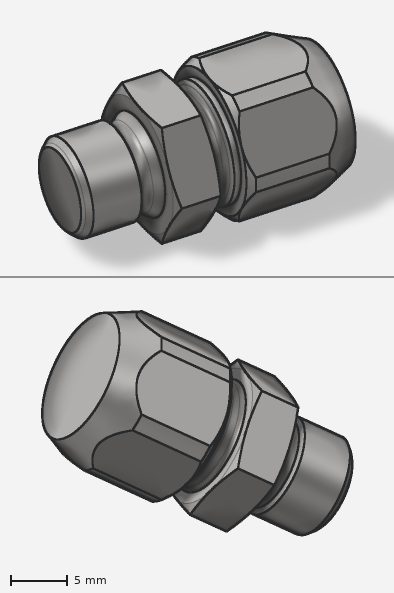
import cadquery as cq
import math

length = 26.6

thread_end = 5.7
hex_start = 7.95
hex_end = 12.53
nut_start = 15.08

thread_radius = 4.8
thread_root_radius = 4.3
nose_edge_length = 0.27
thread_chamfer = 0.82
nose_face_radius = 4.0

relief_radius = 4.12
relief_arc_start = (4.25, 5.95)
relief_arc_end = (4.4, 7.08)
relief_middle = 6.45
relief_flare_radius = 5.0

neck_radius = 5.15
neck_flare_radius = 5.45
neck_start = 13.0
neck_flare_arc_radius = 0.59
neck_end = 13.73
collar_arc_end = (5.53, 14.2)
collar_radius = 5.98
collar_start = 14.42

hex_flats = 13.0
hex_face_radius = hex_flats / 2
hex_corner_radius = hex_flats / 2 / math.cos(math.radians(30))
hex_chamfer = 0.32

nut_flats = 14.0
nut_face_radius = nut_flats / 2
nut_corner_radius = 15.3 / 2
nut_front_chamfer = 0.65
nut_rear_radius = 6.1
nut_cone_length = 3.45


def revolve(profile):
    """Turn a closed (radius, axial position) profile about the Y axis."""
    return profile.close().revolve(360, (0, 0, 0), (0, 1, 0))


def chamfered_hexagon(flats, start, end, corner_radius,
                      front_radius, front_chamfer, rear_radius, rear_chamfer):
    """Hexagonal prism with corners on the X axis, trimmed by a turned envelope."""
    prism = (
        cq.Workplane("XZ", origin=(0, start, 0))
        .polygon(6, flats / math.cos(math.radians(30)))
        .extrude(start - end)
    )
    envelope = revolve(
        cq.Workplane("XY").polyline([
            (0, start),
            (front_radius, start),
            (corner_radius, start + front_chamfer),
            (corner_radius, end - rear_chamfer),
            (rear_radius, end),
            (0, end),
        ])
    )
    return prism.intersect(envelope)


def turned_body():
    """Round stem from the nose face to the nut, with its two grooves."""
    return revolve(
        cq.Workplane("XY")
        .lineTo(nose_face_radius, 0)
        .lineTo(thread_root_radius, nose_edge_length)
        .lineTo(thread_radius, thread_chamfer)
        .lineTo(thread_radius, thread_end)
        .lineTo(*relief_arc_start)
        .threePointArc((relief_radius, relief_middle), relief_arc_end)
        .lineTo(relief_flare_radius, hex_start)
        .lineTo(neck_flare_radius, hex_end)
        .radiusArc((neck_radius, neck_start), neck_flare_arc_radius)
        .lineTo(neck_radius, neck_end)
        .tangentArcPoint(collar_arc_end, relative=False)
        .lineTo(collar_radius, collar_start)
        .lineTo(collar_radius, nut_start)
        .lineTo(0, nut_start)
    )


hexagon = chamfered_hexagon(
    hex_flats, hex_start, hex_end, hex_corner_radius,
    hex_face_radius, hex_chamfer, hex_face_radius, hex_chamfer,
)
nut = chamfered_hexagon(
    nut_flats, nut_start, length, nut_corner_radius,
    nut_face_radius, nut_front_chamfer, nut_rear_radius, nut_cone_length,
)

result = turned_body().union(hexagon).union(nut).translate((0, -length / 2, 0))